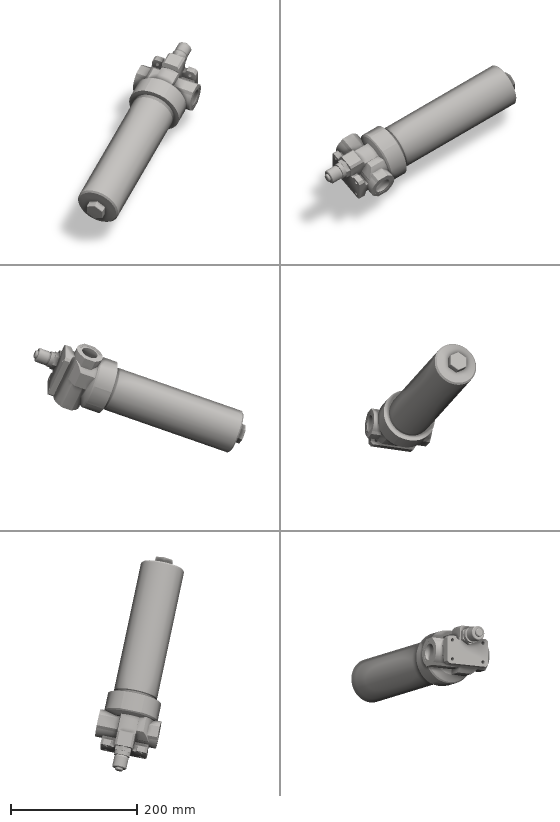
import cadquery as cq
import math


top_end = 74.3
overall_length = 355.3
bottom_end = top_end - overall_length

overlap = 3.5

flange_radius = 43.0
flange_top = -19.2
flange_bottom = -50.0
flange_edge = 2.5
shoulder_radius = 41.0
shoulder_inner_radius = 30.0
shoulder_top = -13.5
bowl_radius = 34.8
bowl_top = -56.5
bowl_bottom = -269.3
bowl_end_rise = 1.5
bowl_end_chamfer = 2.5
neck_radius = 34.0
groove_radius = 33.0
groove_bottom = -55.0

pad_half_width = 14.5
pad_foot_half_width = 16.7
pad_crown_spacing = 85.0
pad_crown_height = pad_crown_spacing / 2
pad_edge_height = 40.0

drain_flats = 27.0
drain_chamfer = 0.7

port_length = 98.0
port_half_height = 22.0
port_radius = 22.0
port_flat_half_width = 9.0
port_arc_height = 18.0
bore_radius = 13.0
bore_depth = 21.3
spotface_radius = 16.7
spotface_depth = 0.5

chamber_radius = 39.0
chamber_half_height = 29.5
chamber_top_end = 6.5
chamber_foot_end = 17.5
chamber_foot_half_height = 15.3

plate_half_width = 37.3
plate_half_height = 22.5
plate_face = 37.3
plate_edge = 28.0
plate_root = 24.0
plate_root_half_height = 8.5
plate_corner = 4.0
mount_hole_radius = 3.0
mount_hole_x = 28.0
mount_hole_z = 15.3
valley_radius = 5.7

block_half_width = 15.5
block_top = 40.0
block_top_half_width = 11.0
block_edge_half_width = 14.2
block_edge_z = 36.5
block_top_end = 15.3
block_slope_end = 11.7
channel_radius = 33.5
channel_half_width = 14.5

plug_z = 24.0
plug_hex_flats = 25.0
plug_hex_end = 44.0
plug_collar_radius = 12.5
plug_collar_end = 50.5
plug_neck_radius = 9.5
plug_body_start = 53.3
plug_body_radius = 11.5
plug_body_end = 70.5
plug_pin_radius = 6.5
plug_chamfer = 1.0


def revolve_about_y(points):
    """Solid of revolution about Y from (radius, y) points."""
    return cq.Workplane("XY").polyline(points).close().revolve(360, (0, 0, 0), (0, 1, 0))


def across_y(start, end):
    """Workplane with local axes X and Z at `start`, with the distance to extrude to `end`."""
    return cq.Workplane("XZ", origin=(0, start, 0)), start - end


def along_x(start, end):
    """Workplane with local axes Y and Z at the given X, with the distance to extrude to `end`."""
    return cq.Workplane("YZ", origin=(start, 0, 0)), end - start


def hexagon(start, end, flats, z):
    """Hexagonal bar along Y with two corners pointing along Z."""
    plane, length = across_y(start, end)
    corner_diameter = flats / math.cos(math.pi / 6)
    return plane.center(0, z).transformed(rotate=(0, 0, 90)).polygon(6, corner_diameter).extrude(length)


def make_bowl_and_flange():
    return revolve_about_y([
        (0, shoulder_top),
        (shoulder_inner_radius, shoulder_top),
        (shoulder_radius, flange_top),
        (flange_radius, flange_top - flange_edge),
        (flange_radius, flange_bottom),
        (neck_radius, flange_bottom),
        (groove_radius, groove_bottom),
        (bowl_radius, bowl_top),
        (bowl_radius, bowl_bottom + bowl_end_chamfer),
        (bowl_radius - bowl_end_chamfer, bowl_bottom),
        (0, bowl_bottom - bowl_end_rise),
    ])


def make_pad_relief():
    """Material above the +Z pad: the flange loses it to leave the flatter pad and its sloping edges."""
    foot_height = math.sqrt(flange_radius**2 - pad_foot_half_width**2)
    plane, length = across_y(shoulder_top, flange_bottom)
    return (
        plane.moveTo(-pad_foot_half_width, foot_height)
        .lineTo(-pad_half_width, pad_edge_height)
        .threePointArc((0, pad_crown_height), (pad_half_width, pad_edge_height))
        .lineTo(pad_foot_half_width, foot_height)
        .lineTo(pad_foot_half_width, flange_radius + overlap)
        .lineTo(-pad_foot_half_width, flange_radius + overlap)
        .close()
        .extrude(length)
    )


def make_drain():
    bar = hexagon(bowl_bottom + overlap, bottom_end, drain_flats, 0)
    return bar.faces("<Y").chamfer(drain_chamfer)


def make_ports():
    arc_y = math.sqrt(port_radius**2 - port_arc_height**2)
    plane, length = along_x(-port_length / 2, port_length / 2)
    return (
        plane.moveTo(-port_flat_half_width, port_half_height)
        .lineTo(port_flat_half_width, port_half_height)
        .lineTo(arc_y, port_arc_height)
        .threePointArc((port_radius, 0), (arc_y, -port_arc_height))
        .lineTo(port_flat_half_width, -port_half_height)
        .lineTo(-port_flat_half_width, -port_half_height)
        .lineTo(-arc_y, -port_arc_height)
        .threePointArc((-port_radius, 0), (-arc_y, port_arc_height))
        .close()
        .extrude(length)
    )


def make_chamber():
    profile = [
        (flange_top, chamber_half_height),
        (chamber_top_end, chamber_half_height),
        (chamber_foot_end, chamber_foot_half_height),
        (chamber_foot_end, -chamber_foot_half_height),
        (chamber_top_end, -chamber_half_height),
        (flange_top, -chamber_half_height),
    ]
    plane, length = along_x(-chamber_radius, 0)
    prism = plane.polyline(profile).close().extrude(length)
    plane, length = across_y(chamber_foot_end, flange_top)
    return prism.intersect(plane.circle(chamber_radius).extrude(length))


def make_mounting_plate():
    profile = [
        (0, plate_root_half_height),
        (plate_root, plate_root_half_height),
        (plate_edge, plate_half_height),
        (plate_face, plate_half_height),
        (plate_face, -plate_half_height),
        (plate_edge, -plate_half_height),
        (plate_root, -plate_root_half_height),
        (0, -plate_root_half_height),
    ]
    plane, length = along_x(-plate_half_width, plate_half_width)
    plate = plane.polyline(profile).close().extrude(length)
    plane, length = across_y(plate_face, 0)
    outline = plane.rect(2 * plate_half_width, 2 * plate_half_height).extrude(length)
    plate = plate.intersect(outline.edges("|Y").chamfer(plate_corner))
    plane, length = across_y(plate_face, plate_root)
    valleys = plane.pushPoints(
        [(side * block_half_width, plate_half_height) for side in (-1, 1)]
    ).circle(valley_radius).extrude(length)
    holes = plane.rect(2 * mount_hole_x, 2 * mount_hole_z, forConstruction=True).vertices()
    return plate.cut(valleys).cut(holes.circle(mount_hole_radius).extrude(length))


def make_indicator_block():
    profile = [
        (plate_face, 0),
        (plate_face, block_top),
        (block_top_end, block_top),
        (block_slope_end, channel_radius),
        (block_slope_end, chamber_half_height),
        (chamber_top_end, chamber_half_height),
        (chamber_foot_end, chamber_foot_half_height),
        (chamber_foot_end, 0),
    ]
    plane, length = along_x(-block_half_width, block_half_width)
    side_shape = plane.polyline(profile).close().extrude(length)
    plane, length = across_y(plate_face, 0)
    end_shape = plane.polyline([
        (-block_half_width, 0),
        (-block_edge_half_width, block_edge_z),
        (-block_top_half_width, block_top),
        (block_top_half_width, block_top),
        (block_edge_half_width, block_edge_z),
        (block_half_width, 0),
    ]).close().extrude(length)
    return side_shape.intersect(end_shape)


def make_channel():
    edge_z = math.sqrt(channel_radius**2 - channel_half_width**2)
    plane, length = across_y(block_slope_end, flange_top)
    return (
        plane.moveTo(-channel_half_width, edge_z)
        .threePointArc((0, channel_radius), (channel_half_width, edge_z))
        .lineTo(block_half_width, port_half_height)
        .lineTo(block_half_width, 0)
        .lineTo(-block_half_width, 0)
        .lineTo(-block_half_width, port_half_height)
        .close()
        .extrude(length)
    )


def make_indicator_plug():
    plug = revolve_about_y([
        (0, plate_face - overlap),
        (plug_collar_radius, plate_face - overlap),
        (plug_collar_radius, plug_collar_end),
        (plug_neck_radius, plug_collar_end),
        (plug_body_radius, plug_body_start),
        (plug_body_radius, plug_body_end - plug_chamfer),
        (plug_body_radius - plug_chamfer, plug_body_end),
        (plug_pin_radius, plug_body_end),
        (plug_pin_radius, top_end - plug_chamfer),
        (plug_pin_radius - plug_chamfer, top_end),
        (0, top_end),
    ]).translate((0, 0, plug_z))
    return plug.union(hexagon(plug_hex_end, plate_face - overlap, plug_hex_flats, plug_z))


def make_bore(side):
    face = side * port_length / 2
    plane, length = along_x(face, face - side * bore_depth)
    bore = plane.circle(bore_radius).extrude(length)
    return bore.union(plane.circle(spotface_radius).extrude(-side * spotface_depth))


result = make_bowl_and_flange()
result = result.cut(make_pad_relief()).cut(make_pad_relief().mirror("XY"))
for feature in (
    make_drain(),
    make_ports(),
    make_chamber(),
    make_mounting_plate(),
    make_channel(),
    make_indicator_block(),
    make_indicator_plug(),
):
    result = result.union(feature)
for port_side in (-1, 1):
    result = result.cut(make_bore(port_side))